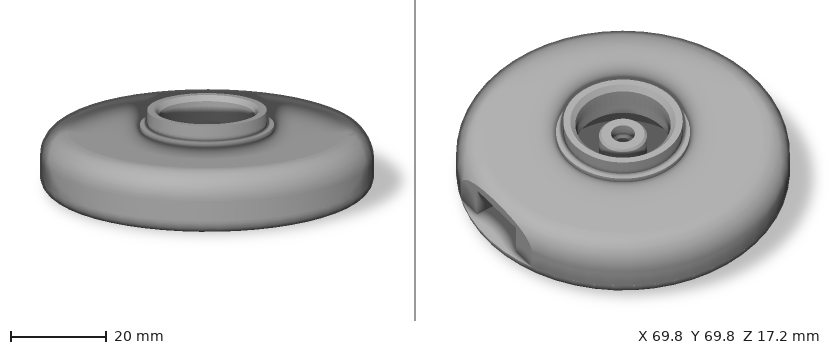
import cadquery as cq

outer_radius = 34.9
overall_height = 17.2

base_thickness = 3.0
post_radius = 5.0
post_top_z = 13.5
post_chamfer = 0.5
post_root_flare = 2.0
post_bore_radius = 2.5
post_bore_depth = 2.6
through_hole_radius = 1.45

housing_top_z = 13.0
housing_top_fillet = 5.6
flat_y = 32.5
collar_radius = 14.0
collar_top_z = 14.0
neck_radius = 12.5
opening_radius = 10.0
opening_chamfer = 1.05

roof_thickness = 3.0
cavity_radius = 15.0
cavity_top_z = housing_top_z - roof_thickness
channel_width = 13.95


def cylinder(radius, bottom_z, top_z):
    """Upright cylinder on the Z axis."""
    return cq.Workplane("XY").workplane(offset=bottom_z).circle(radius).extrude(top_z - bottom_z)


def revolved(half_profile):
    """Solid made by turning a closed profile, drawn in radius and height, about Z."""
    return half_profile.close().revolve(360, (0, 0, 0), (0, 1, 0))


def make_base():
    quarter_round = base_thickness
    disc = revolved(
        cq.Workplane("XZ")
        .lineTo(outer_radius - quarter_round, 0)
        .radiusArc((outer_radius, base_thickness), -quarter_round)
        .lineTo(0, base_thickness)
    )

    post = revolved(
        cq.Workplane("XZ")
        .moveTo(0, base_thickness)
        .lineTo(post_radius + post_root_flare, base_thickness)
        .lineTo(post_radius, base_thickness + post_root_flare)
        .lineTo(post_radius, post_top_z - post_chamfer)
        .lineTo(post_radius - post_chamfer, post_top_z)
        .lineTo(0, post_top_z)
    )

    bore = cylinder(post_bore_radius, post_top_z - post_bore_depth, post_top_z)
    through_hole = cylinder(through_hole_radius, 0, post_top_z)
    return disc.union(post).cut(bore).cut(through_hole)


def make_housing_shell():
    """Round cover with a large top fillet and a flat on its +Y side."""
    cover = cylinder(outer_radius, base_thickness, housing_top_z)
    cover = cover.faces(">Z").edges().fillet(housing_top_fillet)
    beyond_flat = (
        cq.Workplane("XY")
        .workplane(offset=base_thickness)
        .center(0, flat_y)
        .rect(2 * outer_radius, outer_radius)
        .extrude(housing_top_z - base_thickness)
        .translate((0, outer_radius / 2, 0))
    )
    return cover.cut(beyond_flat)


def make_cavity():
    """Round room around the post, with a channel that leaves through the flat."""
    room = cylinder(cavity_radius, base_thickness, cavity_top_z)
    channel = (
        cq.Workplane("XY")
        .workplane(offset=base_thickness)
        .center(0, flat_y / 2)
        .rect(channel_width, flat_y)
        .extrude(cavity_top_z - base_thickness)
    )
    return room.union(channel)


def make_opening():
    """Hole through the neck and the roof, countersunk at its mouth."""
    return revolved(
        cq.Workplane("XZ")
        .moveTo(0, cavity_top_z)
        .lineTo(opening_radius, cavity_top_z)
        .lineTo(opening_radius, overall_height - opening_chamfer)
        .lineTo(opening_radius + opening_chamfer, overall_height)
        .lineTo(0, overall_height)
    )


def make_housing():
    collar = cylinder(collar_radius, housing_top_z, collar_top_z)
    neck = cylinder(neck_radius, collar_top_z, overall_height)
    body = make_housing_shell().union(collar).union(neck)
    return body.cut(make_cavity()).cut(make_opening())


base = make_base()
housing = make_housing()

result = cq.Compound.makeCompound([base.solids().val(), housing.solids().val()])